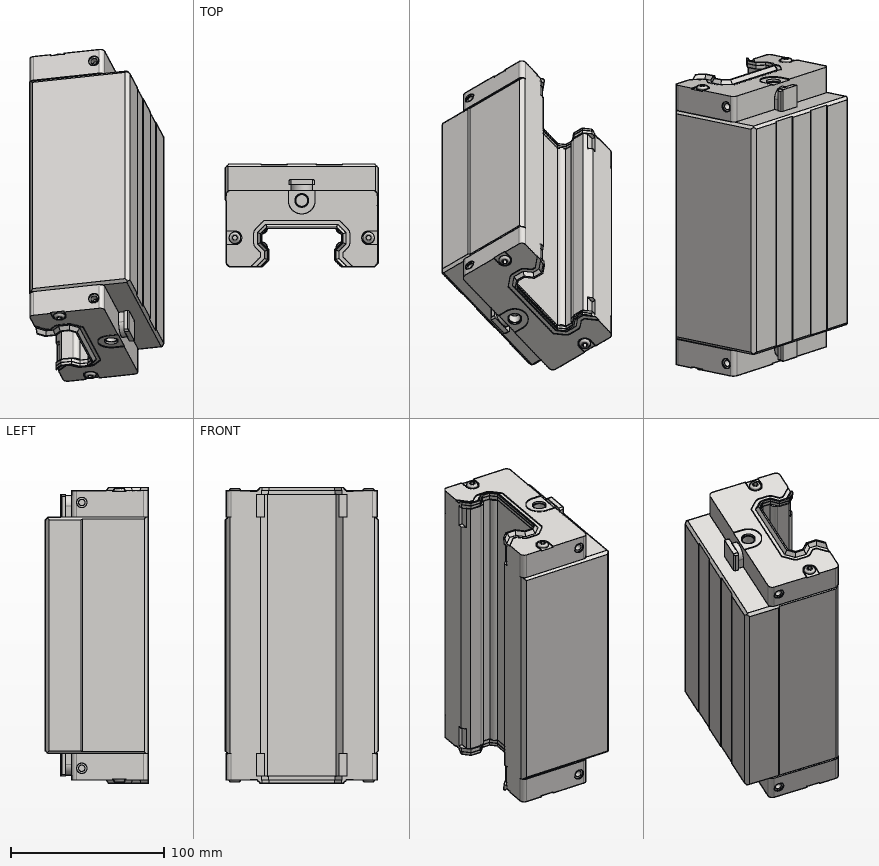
import cadquery as cq
import math

WIDTH = 100.0
HEIGHT = 67.3
LENGTH = 193.0

BODY_LENGTH = 154.4
CORNER_CHAMFER = 2.6
END_CHAMFER = 1.9
SIDE_RELIEF = 0.6
RELIEF_TOP = 44.0
RELIEF_BOTTOM = 43.0
GROOVE_X = 18.0
GROOVE_WIDTH = 17.0
GROOVE_DEPTH = 0.6

LIP_X = 22.4
LIP_Y = 4.5
RACE_RADIUS = 3.8
RACE_X = LIP_X + RACE_RADIUS
LOWER_RACE_Y = 12.5
WAIST_X = 26.0
CEILING_Y = 25.3

PLATE_HALF_WIDTH = 49.3
PLATE_TOP = 50.0
PLATE_END = 94.5
PLATE_FILLET = 3.1
BODY_END = BODY_LENGTH / 2

SEAL_END = LENGTH / 2
SEAL_BACK = 91.9
SEAL_LIP_X = 21.4
SEAL_LIP_LOW = 4.4
SEAL_LIP_HIGH = 11.5
SEAL_WAIST_X = 26.0
SEAL_CEILING = 25.0
SEAL_CEILING_X = 22.3
SEAL_CREST_OFFSET = 1.0
SEAL_FOOT_OFFSET = 2.8
SEAL_RECESS_OFFSET = 5.4
SEAL_RECESS_DEPTH = 0.6
SEAL_RECESS_ROUND = 5.0
SEAL_BACKING_OFFSET = 0.25

NOTCH_INNER_X = 24.3
NOTCH_OUTER_X = 29.6
NOTCH_DEPTH = 2.5

SCREW_X = 43.6
SCREW_Y = 19.0
SCREW_SLOT_WIDTH = 9.0
SCREW_SLOT_DEPTH = 0.7
SCREW_HEAD_DIAMETER = 7.6
SCREW_HEAD_END = 95.8
SCREW_HEAD_ROUND = 1.5
SOCKET_FLATS = 3.0
SOCKET_DEPTH = 4.0

PORT_Y = 43.4
END_PORT_DIAMETER = 9.0
END_PORT_BORE = 7.78
END_PORT_STEP = 1.4
END_PORT_DEPTH = 8.0
PORT_RECESS_WIDTH = 17.6
PORT_RECESS_DEPTH = 0.6
SIDE_PORT_Z = 86.7
SIDE_PORT_DIAMETER = 6.75
SIDE_PORT_BORE = 4.2
SIDE_PORT_STEP = 1.0
SIDE_PORT_DEPTH = 6.0

NECK_DIAMETER = 14.0
NECK_Z = 84.3
CAP_WIDTH = 16.6
CAP_END = 91.8
CAP_BOTTOM = 53.9
CAP_TOP = 57.2
CAP_CORNER = 1.2
CAP_EDGE = 0.9

OVERRUN = 10.0
SELECT_MARGIN = 1.0


def rail_opening():
    """Section of the opening: lips, two convex races on each side and a flat ceiling."""
    waist_rise = math.sqrt(RACE_RADIUS**2 - (RACE_X - WAIST_X) ** 2)
    diagonal = RACE_RADIUS * math.sqrt(0.5)
    lead_in = LIP_Y + OVERRUN
    return (
        cq.Workplane("XY")
        .moveTo(0, -OVERRUN)
        .lineTo(LIP_X + lead_in, -OVERRUN)
        .lineTo(LIP_X, LIP_Y)
        .lineTo(LIP_X, LOWER_RACE_Y)
        .threePointArc(
            (RACE_X - diagonal, LOWER_RACE_Y + diagonal),
            (WAIST_X, LOWER_RACE_Y + waist_rise),
        )
        .lineTo(WAIST_X, CEILING_Y - waist_rise)
        .threePointArc((RACE_X - diagonal, CEILING_Y - diagonal), (LIP_X, CEILING_Y))
        .lineTo(0, CEILING_Y)
        .mirrorY()
    )


def make_body():
    left = -WIDTH / 2
    relieved = left + SIDE_RELIEF
    right = WIDTH / 2
    c = CORNER_CHAMFER
    section = [
        (relieved + c, 0),
        (right - c, 0),
        (right, c),
        (right, HEIGHT - c),
        (right - c, HEIGHT),
        (left + c, HEIGHT),
        (left, HEIGHT - c),
        (left, RELIEF_TOP),
        (relieved, RELIEF_BOTTOM),
        (relieved, c),
    ]
    body = cq.Workplane("XY").polyline(section).close().extrude(BODY_END, both=True)
    ends = (
        cq.Workplane("XY")
        .box(WIDTH, HEIGHT, BODY_LENGTH)
        .translate((0, HEIGHT / 2, 0))
        .faces("<X or >X or >Y")
        .edges("<Z or >Z")
        .chamfer(END_CHAMFER)
    )
    body = body.intersect(ends)
    for side in (-1, 1):
        groove = cq.Workplane("XY").box(GROOVE_WIDTH, 2 * GROOVE_DEPTH, LENGTH)
        body = body.cut(groove.translate((side * GROOVE_X, HEIGHT, 0)))
    return body


def plate_block(start, end):
    """Rounded end plate outline between two Z levels."""
    return (
        cq.Workplane("XY", origin=(0, PLATE_TOP / 2, start))
        .rect(2 * PLATE_HALF_WIDTH, PLATE_TOP)
        .extrude(end - start)
        .edges("|Z")
        .fillet(PLATE_FILLET)
    )


def seal_wire(offset, z):
    """Outline of the seal opening, grown by an offset, as a wire at one Z level."""
    low = SEAL_LIP_LOW + OVERRUN
    rise = SEAL_WAIST_X - SEAL_LIP_X
    half = [
        (SEAL_LIP_X + low, -OVERRUN),
        (SEAL_LIP_X, SEAL_LIP_LOW),
        (SEAL_LIP_X, SEAL_LIP_HIGH),
        (SEAL_WAIST_X, SEAL_LIP_HIGH + rise),
        (SEAL_WAIST_X, SEAL_CEILING - SEAL_WAIST_X + SEAL_CEILING_X),
        (SEAL_CEILING_X, SEAL_CEILING),
    ]
    outline = half + [(-x, y) for x, y in reversed(half)]
    wire = cq.Workplane("XY", origin=(0, 0, z)).polyline(outline).close()
    if offset:
        wire = wire.offset2D(offset, "intersection")
    return wire.vals()[0]


def seal_prism(offset, start, end):
    return cq.Workplane("XY").add(
        cq.Solid.extrudeLinear(seal_wire(offset, start), [], cq.Vector(0, 0, end - start))
    )


def add_seal(plate):
    floor = PLATE_END - SEAL_RECESS_DEPTH
    recess = seal_prism(SEAL_RECESS_OFFSET, floor, SEAL_END)
    waist = SEAL_WAIST_X + SEAL_RECESS_OFFSET
    for side in (-1, 1):
        beside_waist = cq.selectors.BoxSelector(
            (side * (waist - SELECT_MARGIN), LIP_Y, floor),
            (side * (waist + SELECT_MARGIN), PLATE_TOP, SEAL_END),
        )
        recess = recess.edges("|Z").edges(beside_waist).fillet(SEAL_RECESS_ROUND)
    plate = plate.cut(recess)
    slope = cq.Workplane("XY").add(
        cq.Solid.makeLoft(
            [seal_wire(SEAL_FOOT_OFFSET, floor), seal_wire(SEAL_CREST_OFFSET, SEAL_END)], True
        )
    )
    seal = seal_prism(SEAL_FOOT_OFFSET, SEAL_BACK, floor).union(slope)
    seal = seal.intersect(plate_block(SEAL_BACK, SEAL_END))
    plate = plate.union(seal)
    plate = plate.cut(seal_prism(0, SEAL_BACK, SEAL_END))
    return plate.cut(seal_prism(SEAL_BACKING_OFFSET, SEAL_BACK, PLATE_END))


def cut_notches(plate):
    width = NOTCH_OUTER_X - NOTCH_INNER_X
    middle = (NOTCH_OUTER_X + NOTCH_INNER_X) / 2
    for side in (-1, 1):
        notch = (
            cq.Workplane("XY", origin=(side * middle, 0, BODY_END))
            .rect(width, 2 * NOTCH_DEPTH)
            .extrude(SEAL_BACK - BODY_END)
        )
        plate = plate.cut(notch)
    return plate


def add_screw(plate, side):
    floor = PLATE_END - SCREW_SLOT_DEPTH
    centre = cq.Workplane("XY", origin=(side * SCREW_X, SCREW_Y, floor))
    slot = centre.circle(SCREW_SLOT_WIDTH / 2).extrude(OVERRUN)
    outlet = centre.center(side * OVERRUN / 2, 0).rect(OVERRUN, SCREW_SLOT_WIDTH).extrude(OVERRUN)
    head = (
        cq.Workplane("XY", origin=(side * SCREW_X, SCREW_Y, floor))
        .circle(SCREW_HEAD_DIAMETER / 2)
        .extrude(SCREW_HEAD_END - floor)
        .faces(">Z")
        .edges()
        .fillet(SCREW_HEAD_ROUND)
    )
    socket = (
        cq.Workplane("XY", origin=(side * SCREW_X, SCREW_Y, SCREW_HEAD_END - SOCKET_DEPTH))
        .polygon(6, SOCKET_FLATS / math.cos(math.pi / 6))
        .extrude(SOCKET_DEPTH)
    )
    return plate.cut(slot).cut(outlet).union(head).cut(socket)


def stepped_hole(plane, origin, mouth, step, bore, depth):
    """Blind counterbored hole running against the plane normal from its mouth at the origin."""
    start = cq.Workplane(plane, origin=origin)
    return start.circle(bore / 2).extrude(-depth).union(start.circle(mouth / 2).extrude(-step))


def cut_ports(plate):
    floor = PLATE_END - PORT_RECESS_DEPTH
    centre = cq.Workplane("XY", origin=(0, PORT_Y, floor))
    recess = centre.circle(PORT_RECESS_WIDTH / 2).extrude(OVERRUN)
    outlet = centre.center(0, OVERRUN / 2).rect(PORT_RECESS_WIDTH, OVERRUN).extrude(OVERRUN)
    plate = plate.cut(recess).cut(outlet)
    end_port = stepped_hole(
        "XY", (0, PORT_Y, floor), END_PORT_DIAMETER, END_PORT_STEP, END_PORT_BORE, END_PORT_DEPTH
    )
    side_port = stepped_hole(
        "YZ", (PLATE_HALF_WIDTH, PORT_Y, SIDE_PORT_Z),
        SIDE_PORT_DIAMETER, SIDE_PORT_STEP, SIDE_PORT_BORE, SIDE_PORT_DEPTH,
    )
    plate = plate.cut(end_port)
    return plate.cut(side_port).cut(side_port.mirror("YZ"))


def make_plug():
    """U-shaped neck carrying a flat cap, both running back to the body."""
    neck_height = CAP_BOTTOM - PLATE_TOP
    neck = (
        cq.Workplane("XZ", origin=(0, CAP_BOTTOM, NECK_Z))
        .circle(NECK_DIAMETER / 2)
        .extrude(neck_height)
    )
    stem = (
        cq.Workplane("XZ", origin=(0, CAP_BOTTOM, (BODY_END + NECK_Z) / 2))
        .rect(NECK_DIAMETER, NECK_Z - BODY_END)
        .extrude(neck_height)
    )
    cap = (
        cq.Workplane("XZ", origin=(0, CAP_TOP, (BODY_END + CAP_END) / 2))
        .rect(CAP_WIDTH, CAP_END - BODY_END)
        .extrude(CAP_TOP - CAP_BOTTOM)
        .edges(">Z and |Y")
        .chamfer(CAP_CORNER)
        .faces(">Y")
        .edges("|Z")
        .chamfer(CAP_EDGE)
    )
    return neck.union(stem).union(cap)


def make_end():
    """End plate on the +Z end with its seal, screws, ports and plug."""
    plate = plate_block(BODY_END, PLATE_END)
    plate = plate.cut(rail_opening().extrude(LENGTH))
    plate = add_seal(plate)
    plate = cut_notches(plate)
    for side in (-1, 1):
        plate = add_screw(plate, side)
    plate = cut_ports(plate)
    return plate.union(make_plug())


body = make_body().cut(rail_opening().extrude(LENGTH, both=True))
end = make_end()
result = body.union(end).union(end.mirror("XY"))